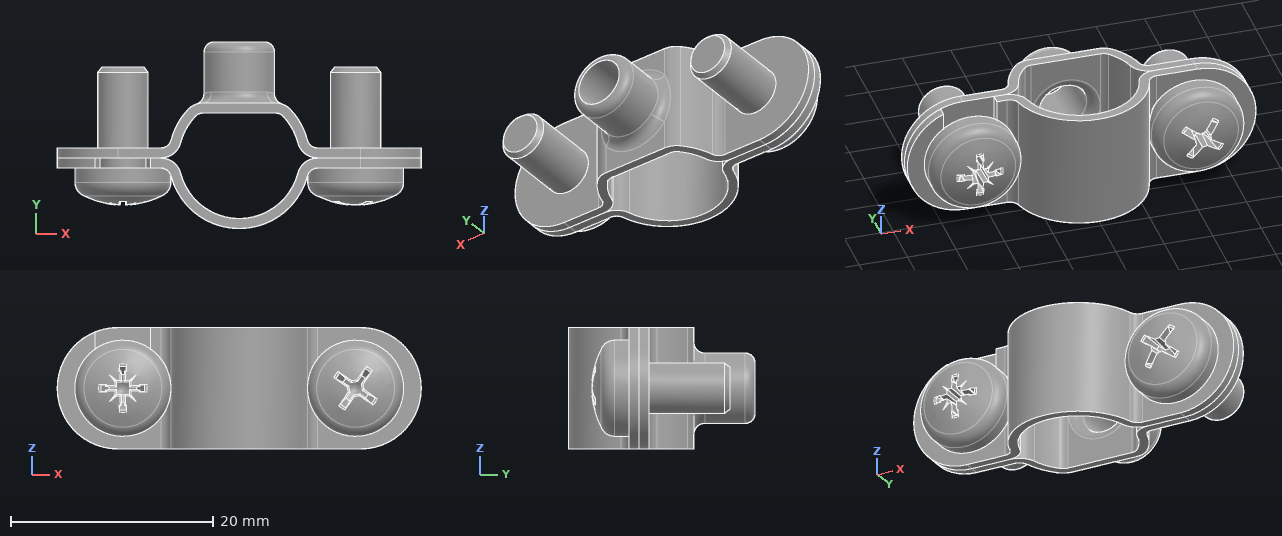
import cadquery as cq
import math


overall_length = 36.0
strap_width = 12.02
sheet = 1.0
clamp_radius = 7.0
bend_radius = sheet
outer_bend_radius = bend_radius + sheet
flat_height = 5.45

ear_bend_x = math.sqrt((clamp_radius + bend_radius) ** 2 - outer_bend_radius ** 2)
ear_bend_y = outer_bend_radius
ear_bend_angle = math.degrees(math.atan2(ear_bend_y, ear_bend_x))

flat_bend_y = flat_height - outer_bend_radius
flat_bend_x = math.sqrt((clamp_radius - outer_bend_radius) ** 2 - flat_bend_y ** 2)
flat_bend_angle = math.degrees(math.atan2(flat_bend_y, flat_bend_x))

boss_diameter = 7.0
boss_bore = 4.95
boss_end = 11.5
boss_end_radius = 1.0
boss_flare_radius = 1.08

screw_spacing = 23.0
shaft_diameter = 5.0
neck_diameter = 4.57
tip_diameter = 4.15
tip_length = 0.55
shaft_end = 9.0
slot_width = 5.5

head_diameter = 9.5
head_height = 3.67
head_side_height = 1.4
dome_edge_diameter = 7.7
dome_edge_height = 2.75
dome_radius = 8.0
head_seat = -sheet
head_top = head_seat - head_height

wing_width = 0.75
recess_ledge_depth = 0.35
recess_ledge_diameter = 5.05
recess_mouth_diameter = 4.32
recess_floor_diameter = 2.75
recess_floor_depth = 1.95
recess_tip_depth = 2.65
recess_draft = 4.0
recess_core = 1.6
phillips_turn = -35.0
pozidriv_web_width = 0.55
pozidriv_web_length = 3.25
tick_depth = 0.2
tick_half_width = 0.15
tick_length = 3.95

right = 1
left = -1


def polar(center_x, center_y, radius, degrees):
    """Point on a circle at the given angle."""
    angle = math.radians(degrees)
    return (center_x + radius * math.cos(angle), center_y + radius * math.sin(angle))


def arc_to(path, center_x, center_y, radius, start, end):
    """Continue the path along a circle between two angles."""
    middle = polar(center_x, center_y, radius, (start + end) / 2)
    return path.threePointArc(middle, polar(center_x, center_y, radius, end))


def strap(has_flat):
    """Bent sheet on the +Y side with rounded ears, with a flat or a fully round crown."""
    inner_radius = clamp_radius - sheet
    crown_angle = flat_bend_angle if has_flat else 90
    crown_y = flat_height if has_flat else clamp_radius
    ear_end = overall_length / 2
    facing_center = 180 + ear_bend_angle

    path = cq.Workplane("XY").moveTo(0, crown_y - sheet)
    if has_flat:
        path = path.lineTo(flat_bend_x, crown_y - sheet)
        path = arc_to(path, flat_bend_x, flat_bend_y, bend_radius, 90, flat_bend_angle)
    path = arc_to(path, 0, 0, inner_radius, crown_angle, ear_bend_angle)
    path = arc_to(path, ear_bend_x, ear_bend_y, outer_bend_radius, facing_center, 270)
    path = path.lineTo(ear_end, 0).lineTo(ear_end, sheet).lineTo(ear_bend_x, sheet)
    path = arc_to(path, ear_bend_x, ear_bend_y, bend_radius, 270, facing_center)
    path = arc_to(path, 0, 0, clamp_radius, ear_bend_angle, crown_angle)
    if has_flat:
        path = arc_to(path, flat_bend_x, flat_bend_y, outer_bend_radius, flat_bend_angle, 90)
        path = path.lineTo(0, crown_y)
    half = path.close().extrude(strap_width / 2, both=True)

    stadium = (
        cq.Workplane("XZ")
        .slot2D(overall_length, strap_width)
        .extrude(overall_length, both=True)
    )
    return half.union(half.mirror("YZ")).intersect(stadium)


def cylinder(diameter, start_y, end_y, x=0):
    """Cylinder along Y."""
    return cq.Workplane("XZ", origin=(x, start_y, 0)).circle(diameter / 2).extrude(start_y - end_y)


def bore_cutter():
    """Through bore of the boss, flared where it opens into the clamp."""
    bore_radius = boss_bore / 2
    flat_inside = flat_height - sheet
    flare_end = flat_inside + boss_flare_radius
    flare_middle = polar(bore_radius + boss_flare_radius, flare_end, boss_flare_radius, 225)
    return (
        cq.Workplane("XY")
        .moveTo(0, flat_inside)
        .lineTo(bore_radius + boss_flare_radius, flat_inside)
        .threePointArc(flare_middle, (bore_radius, flare_end))
        .lineTo(bore_radius, boss_end)
        .lineTo(0, boss_end)
        .close()
        .revolve(360, (0, 0, 0), (0, 1, 0))
    )


def make_rear_strap():
    """Strap with a flat, a drawn boss on the flat and a hole for each screw shaft."""
    body = strap(has_flat=True)
    boss = cylinder(boss_diameter, flat_height - sheet, boss_end)
    boss = boss.faces(">Y").edges().fillet(boss_end_radius)
    body = body.union(boss)
    boss_root = cq.selectors.NearestToPointSelector((0, flat_height, 0))
    body = body.edges(boss_root).fillet(boss_flare_radius)
    body = body.cut(bore_cutter())
    for side in (left, right):
        body = body.cut(cylinder(shaft_diameter, 0, sheet, side * screw_spacing / 2))
    return body


def make_front_strap():
    """Round strap with a slot open at the top on the left ear and a round hole on the right."""
    body = strap(has_flat=False).mirror("XZ")
    for side in (left, right):
        x = side * screw_spacing / 2
        body = body.cut(cylinder(slot_width, -sheet, 0, x))
        body = body.cut(cylinder(head_diameter, head_top, head_seat, x))
    slot = (
        cq.Workplane("XY")
        .box(slot_width, sheet, strap_width, centered=(True, False, False))
        .translate((left * screw_spacing / 2, -sheet, 0))
    )
    return body.cut(slot)


def screw_blank():
    """Pan-head screw without a drive recess, on the Y axis."""
    dome_edge_y = head_seat - dome_edge_height
    dome_middle_x = dome_edge_diameter / 4
    dome_sag = dome_radius - math.sqrt(dome_radius ** 2 - dome_middle_x ** 2)
    return (
        cq.Workplane("XY")
        .moveTo(0, shaft_end)
        .lineTo(tip_diameter / 2, shaft_end)
        .lineTo(shaft_diameter / 2, shaft_end - tip_length)
        .lineTo(shaft_diameter / 2, 0)
        .lineTo(neck_diameter / 2, 0)
        .lineTo(neck_diameter / 2, head_seat)
        .lineTo(head_diameter / 2, head_seat)
        .lineTo(head_diameter / 2, head_seat - head_side_height)
        .tangentArcPoint((dome_edge_diameter / 2, dome_edge_y), relative=False)
        .threePointArc((dome_middle_x, head_top + dome_sag), (0, head_top))
        .close()
        .revolve(360, (0, 0, 0), (0, 1, 0))
    )


def recess_envelope():
    """Stepped cone that limits how far a drive recess reaches."""
    return (
        cq.Workplane("XY")
        .moveTo(0, head_top)
        .lineTo(recess_ledge_diameter / 2, head_top)
        .lineTo(recess_ledge_diameter / 2, head_top + recess_ledge_depth)
        .lineTo(recess_mouth_diameter / 2, head_top + recess_ledge_depth)
        .lineTo(recess_floor_diameter / 2, head_top + recess_floor_depth)
        .lineTo(0, head_top + recess_tip_depth)
        .close()
        .revolve(360, (0, 0, 0), (0, 1, 0))
    )


def recess_block(length, width, turn, x=0):
    """Tapered block sunk into the head from the top of the dome, turned about the Y axis."""
    block = (
        cq.Workplane("XZ", origin=(x, head_top, 0))
        .rect(length, width)
        .extrude(-recess_tip_depth, taper=recess_draft)
    )
    return block.rotate((0, 0, 0), (0, -1, 0), turn)


def make_phillips_screw():
    """Screw with four equal wings around a core turned corner-on to them."""
    cross = recess_block(recess_core, recess_core, phillips_turn + 45)
    for turn in (0, 90):
        cross = cross.union(recess_block(head_diameter, wing_width, phillips_turn + turn))
    return screw_blank().cut(cross.intersect(recess_envelope()))


def make_pozidriv_screw():
    """Screw with stepped wings around a square core and a shallow mark between each two wings."""
    cross = recess_block(recess_core, recess_core, 0)
    wing_tip_length = recess_ledge_diameter - pozidriv_web_length
    wing_tip_x = (pozidriv_web_length + wing_tip_length) / 2
    for turn in (0, 90):
        cross = cross.union(recess_block(head_diameter, pozidriv_web_width, turn))
    for turn in (0, 90, 180, 270):
        cross = cross.union(recess_block(wing_tip_length, wing_width, turn, wing_tip_x))
    body = screw_blank().cut(cross.intersect(recess_envelope()))

    groove = (
        cq.Workplane("YZ")
        .moveTo(head_top, -tick_half_width)
        .lineTo(head_top, tick_half_width)
        .lineTo(head_top + tick_depth, 0)
        .close()
        .extrude(tick_length / 2, both=True)
    )
    for turn in (45, 135):
        body = body.cut(groove.rotate((0, 0, 0), (0, 1, 0), turn))
    return body


rear_strap = make_rear_strap()
front_strap = make_front_strap()
left_screw = make_pozidriv_screw().translate((left * screw_spacing / 2, 0, 0))
right_screw = make_phillips_screw().translate((right * screw_spacing / 2, 0, 0))

result = cq.Compound.makeCompound(
    [rear_strap.val(), front_strap.val(), left_screw.val(), right_screw.val()]
)